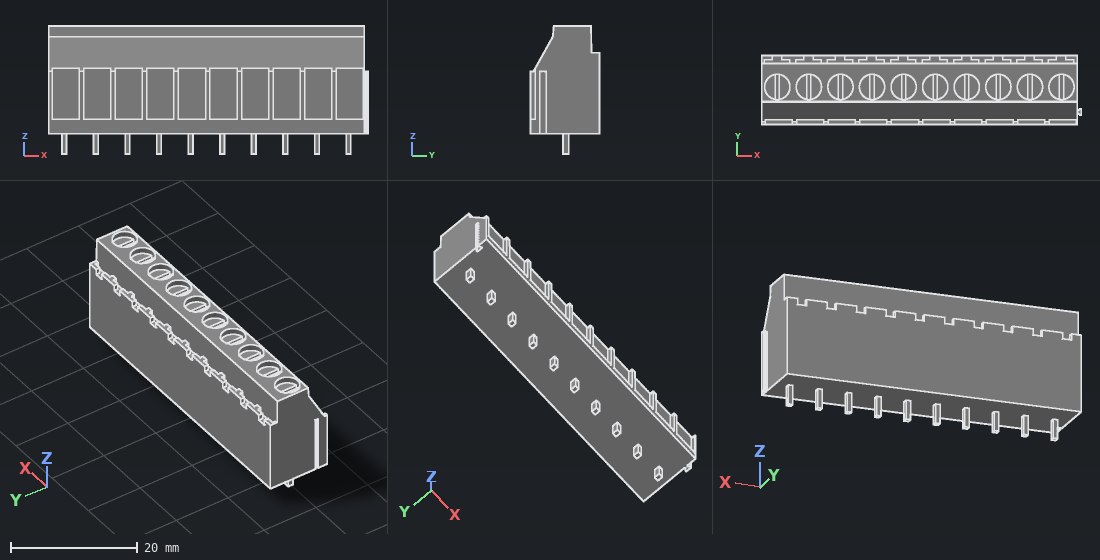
import cadquery as cq


poles = 10
housing_length = 50.0
pitch = housing_length / poles
housing_depth = 11.0
housing_height = 17.1

frame_height = 9.95
frame_thickness = 0.75
slope_bottom_y = 0.5
slope_top_y = 3.55
slope_top_z = 15.4
top_front_y = 3.7
top_back_y = 9.6
ledge_wall_y = 9.7
ledge_z = 12.85

window_start = 0.55
window_width = 4.3
window_bottom_z = 2.35

screw_diameter = 4.0
screw_y = 6.0
screw_well_depth = 1.15
driver_slot_width = 0.65
driver_slot_depth = 0.75

tee_center = 2.45
tee_neck_width = 1.5
tee_head_width = 4.0
tee_neck_length = 0.7
tee_depth = 1.0

pin_width = 0.75
pin_depth = 0.95
pin_length = 3.2
pin_y = 5.6

rail_projection = 0.65
rail_y = 2.05
rail_neck_width = 0.45
rail_neck_length = 0.15
rail_head_width = 1.0
rail_head_length = 0.25


def box(x, y, z, length, depth, height):
    """Box given by its lowest corner and its sizes."""
    return cq.Workplane("XY").box(length, depth, height, centered=False).translate((x, y, z))


def housing():
    """Cross-section extruded along the row of poles."""
    outline = [
        (0, 0),
        (housing_depth, 0),
        (housing_depth, ledge_z),
        (ledge_wall_y, ledge_z),
        (top_back_y, housing_height),
        (top_front_y, housing_height),
        (slope_top_y, slope_top_z),
        (slope_bottom_y, frame_height),
        (0, frame_height),
    ]
    return cq.Workplane("YZ").polyline(outline).close().extrude(housing_length)


def window(pole_x):
    """Front window, open at the top where it breaks out through the slope."""
    height = slope_top_z - window_bottom_z
    return box(pole_x + window_start, 0, window_bottom_z, window_width, frame_thickness, height)


def screw_well(pole_x):
    """Round well whose floor is the screw head, with the driver slot across it."""
    center = (pole_x + pitch / 2, screw_y)
    well_floor_z = housing_height - screw_well_depth
    slot_floor_z = well_floor_z - driver_slot_depth
    disc = cq.Workplane("XY").circle(screw_diameter / 2).extrude(screw_well_depth)
    bar = cq.Workplane("XY").rect(driver_slot_width, screw_diameter).extrude(driver_slot_depth)
    round_ends = cq.Workplane("XY").circle(screw_diameter / 2).extrude(driver_slot_depth)
    well = disc.translate((*center, well_floor_z))
    slot = bar.intersect(round_ends).translate((*center, slot_floor_z))
    return well.union(slot)


def tee_slot(pole_x):
    """Slot with a narrow neck open to the rear and a wide head against the ledge wall."""
    center_x = pole_x + tee_center
    floor_z = ledge_z - tee_depth
    head_back_y = housing_depth - tee_neck_length
    head_length = head_back_y - ledge_wall_y
    head_x = center_x - tee_head_width / 2
    neck_x = center_x - tee_neck_width / 2
    head = box(head_x, ledge_wall_y, floor_z, tee_head_width, head_length, tee_depth)
    neck = box(neck_x, head_back_y, floor_z, tee_neck_width, tee_neck_length, tee_depth)
    return head.union(neck)


def pin(pole_x):
    x = pole_x + (pitch - pin_width) / 2
    return box(x, pin_y - pin_depth / 2, -pin_length, pin_width, pin_depth, pin_length)


def dovetail(end_x):
    """Bar pointing toward +X from the plane X = end_x: a neck that flares into a wider head."""
    neck_half = rail_neck_width / 2
    head_half = rail_head_width / 2
    flare_x = end_x + rail_neck_length
    outer_x = end_x + rail_projection
    head_x = outer_x - rail_head_length
    outline = [
        (end_x, rail_y - neck_half),
        (flare_x, rail_y - neck_half),
        (head_x, rail_y - head_half),
        (outer_x, rail_y - head_half),
        (outer_x, rail_y + head_half),
        (head_x, rail_y + head_half),
        (flare_x, rail_y + neck_half),
        (end_x, rail_y + neck_half),
    ]
    return cq.Workplane("XY").polyline(outline).close().extrude(frame_height)


result = housing().union(dovetail(housing_length)).cut(dovetail(0))
for pole in range(poles):
    pole_start = pole * pitch
    for pocket in (window, screw_well, tee_slot):
        result = result.cut(pocket(pole_start))
    result = result.union(pin(pole_start))